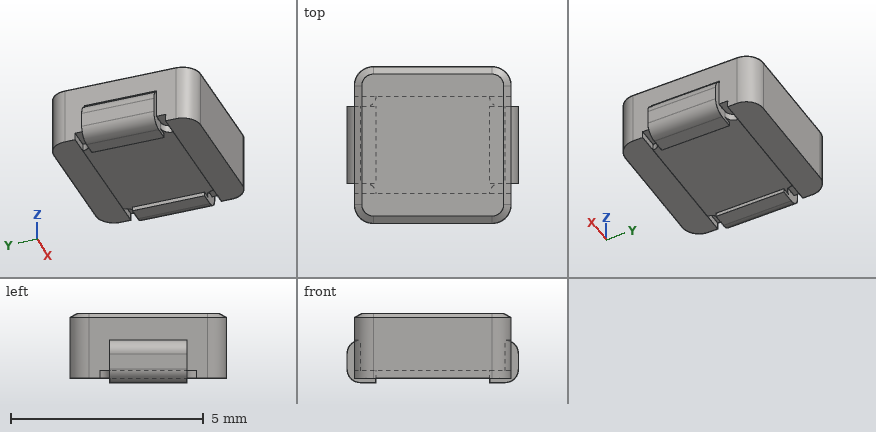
import cadquery as cq
import math

overall_length = 4.45
overall_height = 1.8

housing_side = 4.07
housing_corner_radius = 0.5
standoff = 0.11
bevel_inset = 0.195
bevel_height = 0.105

lead_width = 2.002
lead_height = 1.105
lead_bend_radius = 0.35
foot_length = 0.75
plate_width = 2.51
plate_thickness = 0.2

housing_height = overall_height - standoff
lead_end_x = overall_length / 2
foot_inner_x = lead_end_x - foot_length
upright_inner_x = lead_end_x - lead_bend_radius
plate_top_z = standoff + plate_thickness
flare_radius = (plate_width - lead_width) / 2
neck_x = foot_inner_x + flare_radius
end_sides = (-1, 1)


def box_between(x_range, width, z_range):
    """Box spanning two X positions and two Z levels, centred on Y."""
    x_low, x_high = sorted(x_range)
    z_low, z_high = z_range
    return (
        cq.Workplane("XY")
        .box(x_high - x_low, width, z_high - z_low, centered=(False, True, False))
        .translate((x_low, 0, z_low))
    )


def make_lead(side):
    """Upright with rounded outer edges and a solder foot turned in under the housing."""
    arc_mid_inset = lead_bend_radius * (1 - math.sqrt(0.5))
    arc_mid_x = lead_end_x - arc_mid_inset
    profile = (
        cq.Workplane("XZ")
        .moveTo(foot_inner_x, 0)
        .lineTo(upright_inner_x, 0)
        .threePointArc((arc_mid_x, arc_mid_inset), (lead_end_x, lead_bend_radius))
        .lineTo(lead_end_x, lead_height - lead_bend_radius)
        .threePointArc((arc_mid_x, lead_height - arc_mid_inset), (upright_inner_x, lead_height))
        .lineTo(upright_inner_x, plate_top_z)
        .lineTo(foot_inner_x, plate_top_z)
        .close()
    )
    lead = profile.extrude(lead_width / 2, both=True)
    return lead if side > 0 else lead.mirror("YZ")


def make_plate():
    """Joining plate whose ends narrow to the lead width through concave round corners."""
    plate = box_between((-neck_x, neck_x), plate_width, (standoff, plate_top_z))
    corner_hollows = (
        cq.Workplane("XY", origin=(0, 0, standoff))
        .rect(2 * neck_x, plate_width, forConstruction=True)
        .vertices()
        .circle(flare_radius)
        .extrude(plate_thickness)
    )
    return plate.cut(corner_hollows)


def make_lead_frame():
    frame = make_plate()
    for side in end_sides:
        frame = frame.union(make_lead(side))
    return frame


def make_housing():
    block = (
        cq.Workplane("XY", origin=(0, 0, standoff))
        .rect(housing_side, housing_side)
        .extrude(housing_height)
        .edges("|Z")
        .fillet(housing_corner_radius)
    )
    bevelled = block.faces(">Z").chamfer(bevel_height, bevel_inset)

    channel = box_between((-housing_side / 2, housing_side / 2), plate_width, (standoff, plate_top_z))
    body = bevelled.cut(channel)

    for side in end_sides:
        pocket_range = (side * upright_inner_x, side * housing_side / 2)
        body = body.cut(box_between(pocket_range, lead_width, (standoff, lead_height)))
    return body


housing = make_housing()
lead_frame = make_lead_frame()

result = cq.Compound.makeCompound([housing.val(), lead_frame.val()])